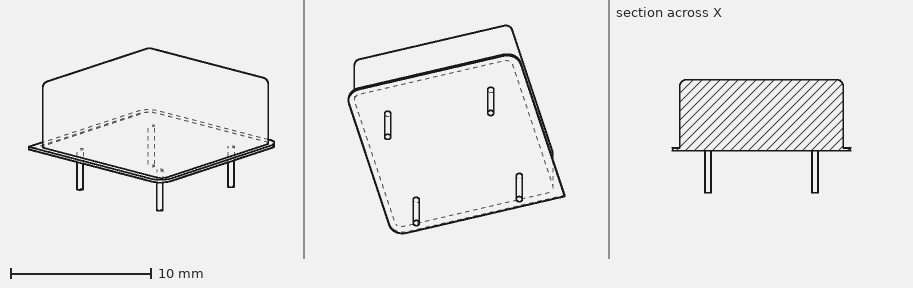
import cadquery as cq

plate_side = 12.7
plate_thickness = 0.2
plate_corner_radius = 1.0

can_side = 11.68
can_height = 4.88
can_edge_radius = 0.5

center_shift_x = 0.1

pin_diameter = 0.45
pin_length = 3.0
pin_pitch = 7.62


def make_plate():
    """Square plate with three rounded corners and one sharp index corner at -X, -Y."""
    plate = cq.Workplane("XY").box(plate_side, plate_side, plate_thickness, centered=(True, True, False))
    for corner in ("<X and >Y", ">X and >Y", ">X and <Y"):
        plate = plate.edges("|Z and " + corner).fillet(plate_corner_radius)
    return plate


def make_can():
    """Square can with rounded vertical edges and a rounded top rim."""
    return (
        cq.Workplane("XY", origin=(center_shift_x, 0, plate_thickness))
        .box(can_side, can_side, can_height, centered=(True, True, False))
        .edges("|Z or >Z")
        .fillet(can_edge_radius)
    )


def make_pins():
    """Four round pins hanging from the underside of the plate."""
    return (
        cq.Workplane("XY", origin=(center_shift_x, 0, 0))
        .rect(pin_pitch, pin_pitch, forConstruction=True)
        .vertices()
        .circle(pin_diameter / 2)
        .extrude(-pin_length)
    )


result = make_plate().union(make_can()).union(make_pins())